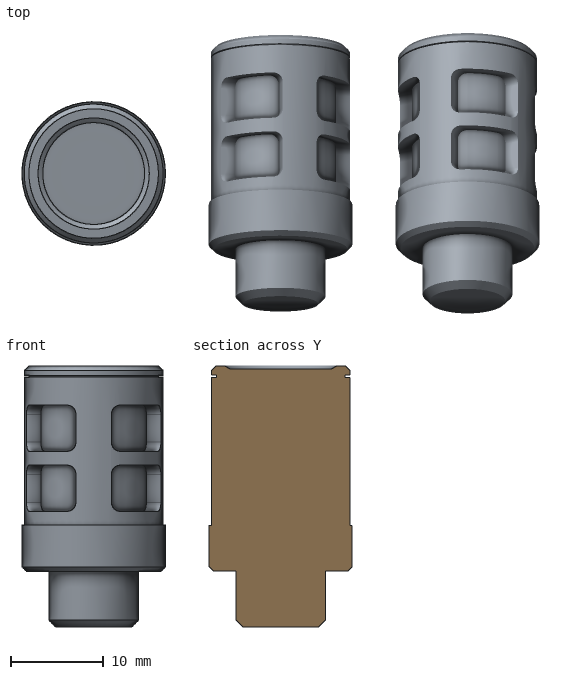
import cadquery as cq

total_height = 28.2
collar_bottom = 6.0
collar_top = 11.0
groove_bottom = 27.0
groove_width = 0.2

stem_radius = 4.85
collar_radius = 7.75
body_radius = 7.5
core_radius = 6.0
groove_radius = 7.0

stem_chamfer = 0.75
edge_chamfer = 0.5
dish_radius = 6.0
dish_depth = 0.28
dish_wall_run = 0.5

window_height = 5.0
window_corner_radius = 1.0
window_pitch = 6.5
lowest_window_bottom = 12.5
window_rows = 2
quadrants = 4
rib_half_width = 1.92
cutter_reach = 11.28


def disc(radius, bottom, top):
    return cq.Workplane("XY").workplane(offset=bottom).circle(radius).extrude(top - bottom)


def make_body():
    """Stem, collar, slotted sleeve and cap stacked on the Z axis."""
    groove_top = groove_bottom + groove_width
    stem = disc(stem_radius, 0, collar_bottom).faces("<Z").chamfer(stem_chamfer)
    collar = disc(collar_radius, collar_bottom, collar_top).faces("<Z").chamfer(edge_chamfer)
    sleeve = disc(body_radius, collar_top, groove_bottom)
    neck = disc(groove_radius, groove_bottom, groove_top)
    cap = disc(body_radius, groove_top, total_height).faces(">Z").chamfer(edge_chamfer)
    return stem.union(collar).union(sleeve).union(neck).union(cap)


def make_dish():
    """Shallow recess with a sloping wall, wider at the top."""
    return (
        cq.Workplane("XY")
        .workplane(offset=total_height - dish_depth)
        .circle(dish_radius - dish_wall_run)
        .workplane(offset=dish_depth)
        .circle(dish_radius)
        .loft(ruled=True)
    )


def make_window(bottom):
    """Pocket in the +X +Y quadrant, rounded along both walls, down to the core."""
    top = bottom + window_height
    size = cutter_reach - rib_half_width
    center = rib_half_width + size / 2
    block = (
        cq.Workplane("XY")
        .box(size, size, window_height)
        .translate((center, center, bottom + window_height / 2))
    )
    along_x = block.edges("|X and <Y").fillet(window_corner_radius)
    along_y = block.edges("|Y and <X").fillet(window_corner_radius)
    return along_x.intersect(along_y).cut(disc(core_radius, bottom, top))


result = make_body().cut(make_dish())
for row in range(window_rows):
    window = make_window(lowest_window_bottom + row * window_pitch)
    for quadrant in range(quadrants):
        angle = quadrant * 360 / quadrants
        result = result.cut(window.rotate((0, 0, 0), (0, 0, 1), angle))